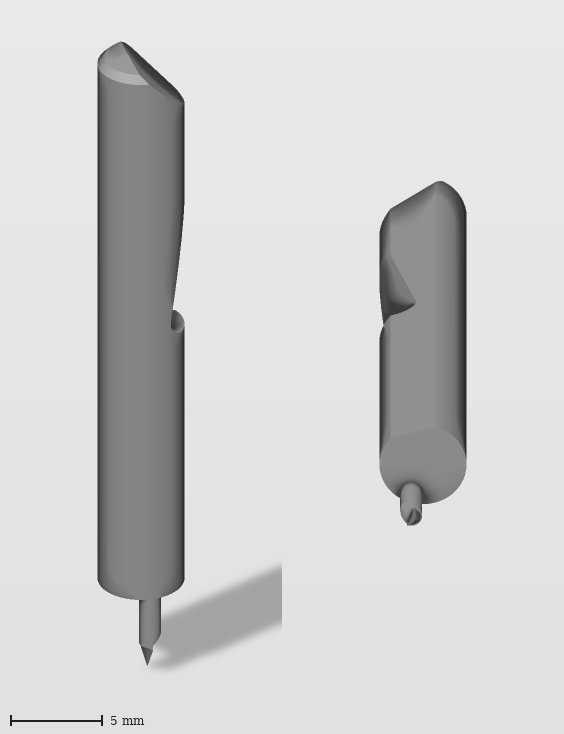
import math
import cadquery as cq

shank_radius = 2.38
shank_length = 33.0
top_chamfer = 0.4

top_slope_angle = 45.0
top_slope_depth = 3.0

flat_distance = 2.0
flat_angle = 143.4

notch_wall_z = 16.1
notch_start_z = 24.9
notch_slope_angle = 9.6
notch_corner_radius = 1.0

neck_radius = 0.6
neck_length = 3.1
neck_x = shank_radius - neck_radius
rake_start_z = -2.95
rake_slope_angle = 45.0

tip_top_z = -neck_length
tip_z = -4.88
tip_x = 1.18
tip_left_x = 1.18
tip_corner_x = 1.06
tip_corner_z = -4.62
tip_nose_x = 1.36
tip_nose_z = -4.74
tip_right_x = 2.35
tip_right_z = -3.28
ridge_x = 1.85
ridge_depth = 0.58

groove_height = 0.22
groove_floor_x = 1.3

clearance = 1.0


def across_x(points):
    """Prism over a closed (Y, Z) outline, passing through the whole shank in X."""
    half_width = shank_radius + clearance
    return cq.Workplane("YZ").polyline(points).close().extrude(half_width, both=True)


def make_shank():
    shank = cq.Workplane("XY").circle(shank_radius).extrude(shank_length)
    return shank.faces(">Z").chamfer(top_chamfer)


def top_slope_cut():
    slope = math.tan(math.radians(top_slope_angle))
    outer_y = shank_radius + clearance
    low_z = shank_length - (top_slope_depth + clearance) * slope
    inner_y = shank_radius - top_slope_depth - clearance
    high_z = shank_length + clearance * slope
    return across_x([(outer_y, low_z), (outer_y, high_z), (inner_y, high_z)])


def flat_cut():
    size = 2 * shank_radius
    block = cq.Workplane("XY").box(size, 2 * size, shank_length, centered=(False, True, False))
    block = block.translate((flat_distance, 0, 0))
    return block.rotate((0, 0, 0), (0, 0, 1), flat_angle)


def notch_cut():
    """Sloped notch with a square wall at its lower end and a rounded inner corner."""
    slope = math.tan(math.radians(notch_slope_angle))
    outer_y = shank_radius + clearance
    inner_y = shank_radius - (notch_start_z - notch_wall_z) * slope
    outer_z = notch_start_z + clearance / slope
    notch = across_x([(inner_y, notch_wall_z), (outer_y, notch_wall_z), (outer_y, outer_z)])
    return notch.edges("|X").edges("<Y").fillet(notch_corner_radius)


def make_neck():
    """Round neck whose +Y half ends in a slope running down to the rake plane Y = 0."""
    neck = cq.Workplane("XY").center(neck_x, 0).circle(neck_radius).extrude(-neck_length)
    reach = neck_radius + clearance
    rise = reach * math.tan(math.radians(rake_slope_angle))
    low_z = -neck_length - clearance
    return neck.cut(
        across_x([(0, rake_start_z), (reach, rake_start_z + rise), (reach, low_z), (0, low_z)])
    )


def make_tip():
    """Pyramid with its base on the rake plane and its apex at the top of the back ridge."""
    rake_outline = [
        cq.Vector(tip_left_x, 0, tip_top_z),
        cq.Vector(tip_corner_x, 0, tip_corner_z),
        cq.Vector(tip_x, 0, tip_z),
        cq.Vector(tip_nose_x, 0, tip_nose_z),
        cq.Vector(tip_right_x, 0, tip_right_z),
        cq.Vector(tip_right_x, 0, tip_top_z),
    ]
    ridge_top = cq.Vector(ridge_x, -ridge_depth, tip_top_z)
    outlines = [rake_outline]
    for index, corner in enumerate(rake_outline):
        outlines.append([rake_outline[index - 1], corner, ridge_top])
    faces = [cq.Face.makeFromWires(cq.Wire.makePolygon(points, close=True)) for points in outlines]
    return cq.Workplane(cq.Solid.makeSolid(cq.Shell.makeShell(faces)))


def groove_cut():
    """Wedge that sets the -X flank back just below the neck, fading out at the back ridge."""
    outer_x = tip_left_x - clearance
    outline = [(groove_floor_x, 0), (ridge_x, -ridge_depth), (outer_x, -ridge_depth), (outer_x, 0)]
    wedge = cq.Workplane("XY", origin=(0, 0, tip_top_z)).polyline(outline).close()
    return wedge.extrude(-groove_height)


shank = make_shank().cut(top_slope_cut()).cut(flat_cut()).cut(notch_cut())
tip = make_tip().cut(groove_cut())
body = shank.union(make_neck()).union(tip)
result = cq.Workplane(body.solids().val())